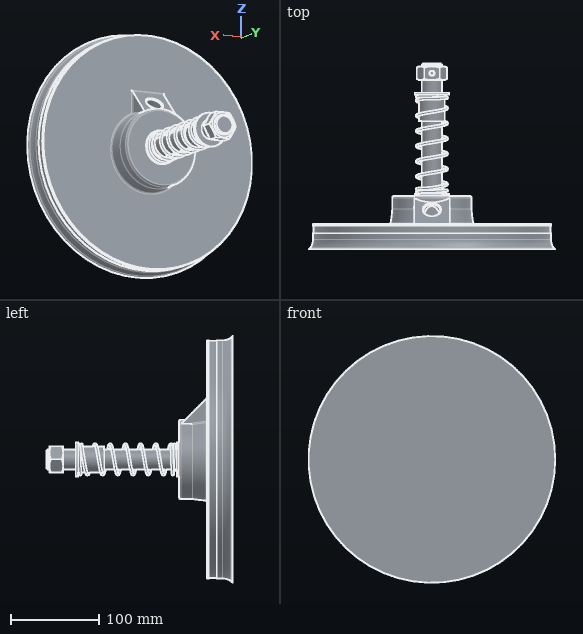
import cadquery as cq
import math

total_length = 210.51

lip_radius = 279.48 / 2
disc_radius = 270 / 2
groove_radius = 268.8 / 2
disc_back = 29.1
lip_bevel_radius = 137.6
lip_bevel_height = 2.1
flare_start = 11.6
flare_sag = 0.7
groove_front = 18.1
groove_back = 26.7
rim_chamfer = 0.6

hub_radius = 90 / 2
hub_back = 60.6
hub_edge_radius = 2.2
hub_cone_start = 45.8
hub_foot_radius = 47.0
foot_fillet = 1.2

block_width = 40.0
block_side_fillet = 1.8
slope_offset = 98.4
port_y = 45.0
port_thread_radius = 20.955 / 2
port_radius = 18.63 / 2
port_depth = 25.0
port_floor_radius = 44.2

stem_radius = 22.99 / 2
stem_chamfer = 1.6
nut_width_across_flats = 30.0
nut_chamfer_radius = 28.5 / 2
nut_front = 191.3
nut_thickness = 16.2
nut_chamfer_angle = 30
hexagon_sides = 6
pin_hole_radius = 4.92 / 2
pin_hole_mouth_radius = 6.0 / 2

flange_radius = 39.0 / 2
bush_radius = 29.66 / 2
bush_front = 145.2
flange_front = 174.8
flange_back = 177.5
washer_back = 63.0

wire_radius = 1.45
coil_radius = 16.8
active_pitch = 17.2
active_start_y = 69.2
active_start_angle = 262
active_turns = 5.883
front_end_turns = 1.35
front_end_pitch = 3.6
back_end_turns = 1.2
back_end_pitch = 3.1
points_per_turn = 16


def revolve_about_y(profile):
    return profile.close().revolve(360, (0, 0, 0), (0, 1, 0))


def cylinder_y(radius, y_front, y_back):
    profile = (
        cq.Workplane("XY")
        .moveTo(0, y_front)
        .lineTo(radius, y_front)
        .lineTo(radius, y_back)
        .lineTo(0, y_back)
    )
    return revolve_about_y(profile)


def make_disc():
    profile = (
        cq.Workplane("XY")
        .moveTo(0, 0)
        .lineTo(lip_radius, 0)
        .lineTo(lip_bevel_radius, lip_bevel_height)
        .sagittaArc((disc_radius, flare_start), flare_sag)
        .lineTo(disc_radius, groove_front)
        .lineTo(groove_radius, groove_front)
        .lineTo(groove_radius, groove_back)
        .lineTo(disc_radius, groove_back)
        .lineTo(disc_radius, disc_back - rim_chamfer)
        .lineTo(disc_radius - rim_chamfer, disc_back)
        .lineTo(0, disc_back)
    )
    return revolve_about_y(profile)


def make_hub():
    profile = (
        cq.Workplane("XY")
        .moveTo(0, 0)
        .lineTo(hub_foot_radius, 0)
        .lineTo(hub_foot_radius, disc_back)
        .lineTo(hub_radius, hub_cone_start)
        .lineTo(hub_radius, hub_back - hub_edge_radius)
        .radiusArc((hub_radius - hub_edge_radius, hub_back), -hub_edge_radius)
        .lineTo(0, hub_back)
    )
    return revolve_about_y(profile)


def make_port_block():
    block_back = hub_back - hub_edge_radius
    return (
        cq.Workplane("YZ")
        .moveTo(0, 0)
        .lineTo(block_back, 0)
        .lineTo(block_back, slope_offset - block_back)
        .lineTo(disc_back, slope_offset - disc_back)
        .lineTo(0, slope_offset - disc_back)
        .close()
        .extrude(block_width / 2, both=True)
    )


def make_tapped_hole(plane, radius, mouth_radius, depth):
    """Cutter for a hole with a 45 degree countersunk mouth on `plane`."""
    bore = cq.Workplane(plane).circle(radius).extrude(-depth)
    mouth = cq.Workplane(plane).circle(mouth_radius).extrude(radius - mouth_radius, taper=45)
    return bore.union(mouth)


def make_port():
    slope_plane = cq.Plane(
        origin=(0, port_y, slope_offset - port_y), xDir=(1, 0, 0), normal=(0, 1, 1)
    )
    hole = make_tapped_hole(slope_plane, port_radius, port_thread_radius, port_depth)
    return hole.cut(cylinder_y(port_floor_radius, 0, hub_back))


def make_stem():
    profile = (
        cq.Workplane("XY")
        .moveTo(0, disc_back)
        .lineTo(stem_radius, disc_back)
        .lineTo(stem_radius, total_length - stem_chamfer)
        .lineTo(stem_radius - stem_chamfer, total_length)
        .lineTo(0, total_length)
    )
    return revolve_about_y(profile)


def make_nut():
    nut_back = nut_front + nut_thickness
    corner_radius = nut_width_across_flats / 2 / math.cos(math.pi / hexagon_sides)
    bevel = (corner_radius - nut_chamfer_radius) * math.tan(math.radians(nut_chamfer_angle))
    hexagon = (
        cq.Workplane("XZ", origin=(0, nut_front, 0))
        .polygon(hexagon_sides, 2 * corner_radius)
        .extrude(-nut_thickness)
    )
    bevel_envelope = revolve_about_y(
        cq.Workplane("XY")
        .moveTo(0, nut_front)
        .lineTo(nut_chamfer_radius, nut_front)
        .lineTo(corner_radius, nut_front + bevel)
        .lineTo(corner_radius, nut_back - bevel)
        .lineTo(nut_chamfer_radius, nut_back)
        .lineTo(0, nut_back)
    )
    flat_height = nut_width_across_flats / 2
    flat_plane = cq.Plane(origin=(0, nut_front + nut_thickness / 2, flat_height), normal=(0, 0, 1))
    pin_hole = make_tapped_hole(
        flat_plane, pin_hole_radius, pin_hole_mouth_radius, flat_height - stem_radius
    )
    return hexagon.intersect(bevel_envelope).cut(pin_hole)


def spring_point(turn):
    """Centre of the wire, `turn` turns after the start of the active coils."""
    active = min(max(turn, 0), active_turns)
    y = (
        active_start_y
        + active_pitch * active
        + front_end_pitch * min(turn, 0)
        + back_end_pitch * max(turn - active_turns, 0)
    )
    angle = math.radians(active_start_angle + 360 * turn)
    return cq.Vector(coil_radius * math.cos(angle), y, -coil_radius * math.sin(angle))


def make_spring():
    all_turns = front_end_turns + active_turns + back_end_turns
    steps = round(all_turns * points_per_turn)
    points = [spring_point(all_turns * i / steps - front_end_turns) for i in range(steps + 1)]
    path = cq.Edge.makeSpline(points)
    wire_end = cq.Plane(origin=path.startPoint(), normal=path.tangentAt(0))
    return cq.Workplane(wire_end).circle(wire_radius).sweep(cq.Workplane(path), isFrenet=True)


def make_body():
    """Disc, hub and port block, with fillets at the foot of the hub and block."""
    body = make_disc().union(make_hub()).union(make_port_block())
    body = body.edges("%HYPERBOLA").fillet(block_side_fillet)
    reach = slope_offset
    margin = 0.1
    foot_zone = cq.selectors.BoxSelector(
        (-reach, disc_back - margin, -reach), (reach, disc_back + margin, reach), boundingbox=True
    )
    return body.edges(foot_zone).fillet(foot_fillet).cut(make_port())


def make_bush():
    sleeve = cylinder_y(bush_radius, bush_front, flange_front)
    flange = cylinder_y(flange_radius, flange_front, flange_back)
    return sleeve.union(flange)


def make_washer():
    return cylinder_y(flange_radius, hub_back, washer_back)


stem_parts = (make_stem(), make_nut(), make_bush(), make_washer(), make_spring())
result = make_body()
for stem_part in stem_parts:
    result = result.union(stem_part)